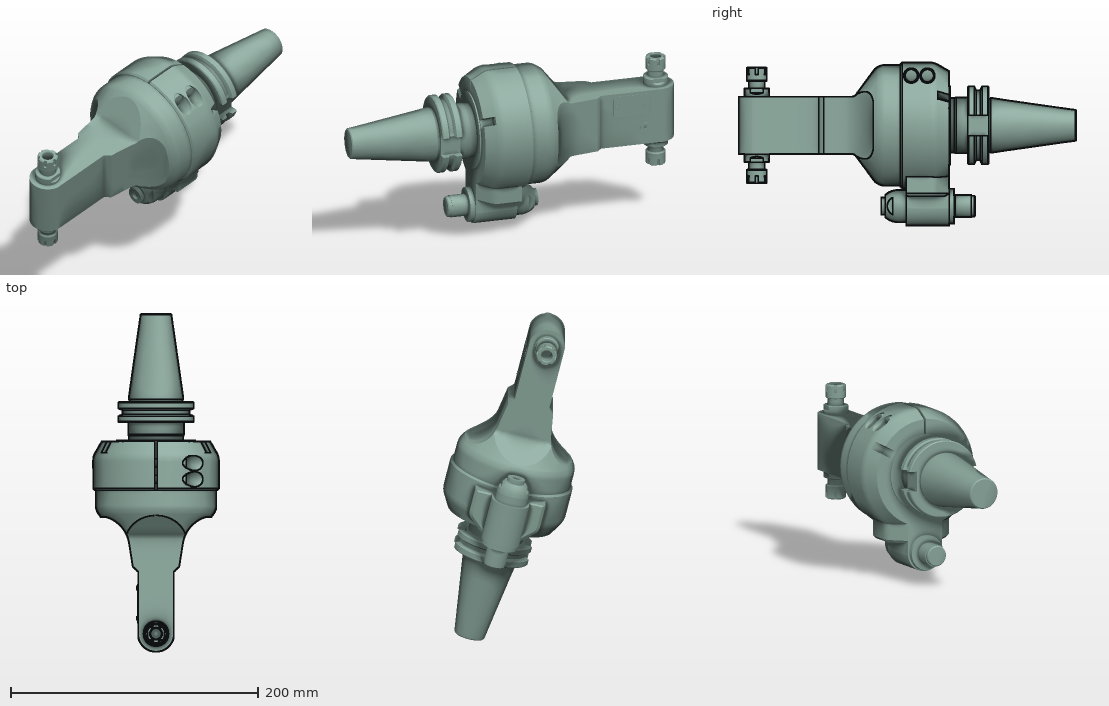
import cadquery as cq
import math


TAPER_END_RADIUS = 12.5
TAPER_END_CHAMFER = 0.8
TAPER_GAUGE_RADIUS = 22.0
TAPER_GAUGE_STATION = 67.8
TAPER_LAND_LENGTH = 1.5
TAPER_RELIEF_RADIUS = 21.5
FLANGE_RADIUS = 31.7
FLANGE_BACK = 71.0
FLANGE_FRONT = 87.7
FLANGE_CHAMFER = 0.8
GRIP_GROOVE_RADIUS = 28.5
GRIP_GROOVE_CENTRE = 79.5
GRIP_GROOVE_TOP_WIDTH = 6.5
GRIP_GROOVE_ROOT_WIDTH = 3.3
DRIVE_SLOT_WIDTH = 16.7
DRIVE_SLOT_FLOOR = 24.0
NECK_RADIUS = 22.7
NECK_STEP_START = 97.3
NECK_STEP_END = 98.5
NECK_FRONT_RADIUS = 22.0

BOSS_BACK = 102.0
BOSS_RADIUS = 31.7
RING_BACK = 103.0
RING_FRONT = 142.3
RING_DIAMETER = 102.0
RING_RADIUS = RING_DIAMETER / 2
RING_CONE_ANGLE = 30
RING_ROUND_RADIUS = 13.0
BACK_CORNER_STATION = 115.3
RING_FRONT_CHAMFER = 1.5
SLIT_WIDTH = 2.2
CLAMP_SCREW_STATIONS = (120.5, 133.5)
CLAMP_SCREW_DIAMETER = 6.5
CLAMP_BORE_DIAMETER = 12.0
CLAMP_SEAT_X = 17.8
CLAMP_HEAD_END_X = 24.5
CLAMP_HEAD_DIAMETER = 10.0
CLAMP_AXIS_Z = 40.2
NOTCH_ANGLES = (30, 150)
NOTCH_WIDTH = 6.8
NOTCH_DEPTH = 11.0
NOTCH_END = 112.0

BLOCK_HALF_WIDTH = 29.2
BLOCK_SLOPE_ANGLE = 48
BLOCK_ROUND_RADIUS = 8.7
BLOCK_FRONT = 137.7
BLOCK_BOTTOM = -57.5
BLOCK_CHAMFER = 2.5
BLOCK_FRONT_CHAMFER = 1.0
STOP_AXIS_Z = -65.3
SLEEVE_DIAMETER = 31.5
SLEEVE_RADIUS = SLEEVE_DIAMETER / 2
SLEEVE_HALF_WIDTH = 15.5

PIN_BACK = 82.0
PIN_TAIL_RADIUS = 9.0
PIN_TAIL_CHAMFER = 0.8
PIN_RELIEF_RADIUS = 8.5
PIN_LAND_BACK = 85.2
PIN_LAND_FRONT = 97.8
PIN_COLLAR_BACK = 99.0
PIN_COLLAR_RADIUS = 14.2
PIN_BODY_RADIUS = 13.0
PIN_DOME_START = 145.0
PIN_DOME_END = 154.5
PIN_DOME_END_RADIUS = 9.0
PIN_DOME_MIDDLE = 150.5
PIN_DOME_MIDDLE_RADIUS = 11.7
PIN_TIP_RADIUS = 7.0
PIN_TIP_FRONT = 158.0
PIN_FLAT_X = 10.5
PIN_FLAT_BACK = 148.5
PIN_SOCKET_DIAMETER = 6.5
PIN_SOCKET_DEPTH = 2.7

HEAD_RADIUS = 49.0
HEAD_CORNER_STATION = 158.5
HEAD_CONE_ANGLE = 36
HEAD_ROUND_RADIUS = 11.0
CONE_END = 179.5
SHOULDER_STATION = 164.2
SHOULDER_HALF_WIDTH = 40.7
ARM_ROOT_STATION = 185.2
ARM_ROOT_HALF_WIDTH = 21.9
ARM_STEP_START = 204.3
ARM_STEP_HALF_WIDTH = 18.9
ARM_STEP_END = 208.5
ARM_HALF_WIDTH = 14.5
ARM_HALF_HEIGHT = 23.2
NOSE_FLAT_START = 260.4
NOSE_ROUND_START = 262.3
ARM_FRONT = 273.2
WEDGE_CORNER_STATION = 179.5
WEDGE_ANGLE = 53.5
WEDGE_FILLET = 4.5
ENVELOPE = 54.6

PLATE_BACK = 219.0
PLATE_FRONT = 248.5
PLATE_BOTTOM = 2.7
PLATE_TOP = 20.8
PLATE_CORNER = 2.2
PLATE_THICKNESS = 0.3
PLATE_PIN_INSET = 2.5
PLATE_PIN_DIAMETER = 2.5
PLATE_PIN_HEIGHT = 1.0
WINDOW_STATION = 245.5
WINDOW_Z = -8.5
WINDOW_DIAMETER = 8.5
WINDOW_HOLE_DIAMETER = 3.3
WINDOW_HOLE_DEPTH = 1.0

SPINDLE_STATION = 258.5
COLLAR_RADIUS = 10.0
COLLAR_TOP = 30.0
COLLAR_CHAMFER = 0.5
COLLAR_FLAT_X = 8.7
COLLAR_FLAT_BOTTOM = 26.5
COLLAR_FLAT_RUNOUT = 1.5
SPINDLE_NECK_RADIUS = 6.5
NUT_RADIUS = 8.2
NUT_BOTTOM = 35.5
NUT_TOP = 47.0
NUT_CHAMFER = 0.8
NUT_SLOT_COUNT = 6
NUT_SLOT_WIDTH = 2.6
NUT_SLOT_DEPTH = 1.6
NUT_SLOT_LENGTH = 6.3
COLLET_MOUTH_DIAMETER = 10.0
COLLET_BORE_DIAMETER = 9.0
COLLET_MOUTH_DEPTH = 0.8
COLLET_BORE_DEPTH = 16.5


def on_axis(x, station):
    """XY point at a distance x from the shank axis and at a station along it."""
    return (x, -station)


def turned(points):
    """Solid of revolution about the Y axis from (radius, station) points."""
    outline = cq.Workplane("XY").polyline([on_axis(*p) for p in points]).close()
    return outline.revolve(360, (0, 0, 0), (0, 1, 0))


def cylinder_along_y(radius, back, front, z=0):
    plane = cq.Workplane("XZ", origin=(0, -back, z))
    return plane.circle(radius).extrude(front - back)


def box_between(x_range, station_range, z_range):
    """Axis-aligned box given by its limits."""
    x0, x1 = x_range
    back, front = station_range
    z0, z1 = z_range
    box = cq.Workplane("XY").box(x1 - x0, front - back, z1 - z0, centered=False)
    return box.translate((x0, -front, z0))


def make_shank():
    groove_top = GRIP_GROOVE_TOP_WIDTH / 2
    groove_root = GRIP_GROOVE_ROOT_WIDTH / 2
    land_front = TAPER_GAUGE_STATION + TAPER_LAND_LENGTH
    shank = turned([
        (0, 0),
        (TAPER_END_RADIUS - TAPER_END_CHAMFER, 0),
        (TAPER_END_RADIUS, TAPER_END_CHAMFER),
        (TAPER_GAUGE_RADIUS, TAPER_GAUGE_STATION),
        (TAPER_GAUGE_RADIUS, land_front),
        (TAPER_RELIEF_RADIUS, land_front),
        (TAPER_RELIEF_RADIUS, FLANGE_BACK),
        (FLANGE_RADIUS - FLANGE_CHAMFER, FLANGE_BACK),
        (FLANGE_RADIUS, FLANGE_BACK + FLANGE_CHAMFER),
        (FLANGE_RADIUS, GRIP_GROOVE_CENTRE - groove_top),
        (GRIP_GROOVE_RADIUS, GRIP_GROOVE_CENTRE - groove_root),
        (GRIP_GROOVE_RADIUS, GRIP_GROOVE_CENTRE + groove_root),
        (FLANGE_RADIUS, GRIP_GROOVE_CENTRE + groove_top),
        (FLANGE_RADIUS, FLANGE_FRONT - FLANGE_CHAMFER),
        (FLANGE_RADIUS - FLANGE_CHAMFER, FLANGE_FRONT),
        (NECK_RADIUS, FLANGE_FRONT),
        (NECK_RADIUS, NECK_STEP_START),
        (NECK_FRONT_RADIUS, NECK_STEP_END),
        (NECK_FRONT_RADIUS, BOSS_BACK),
        (0, BOSS_BACK),
    ])
    half_slot = DRIVE_SLOT_WIDTH / 2
    for x_range in ((DRIVE_SLOT_FLOOR, ENVELOPE), (-ENVELOPE, -DRIVE_SLOT_FLOOR)):
        shank = shank.cut(box_between(x_range, (FLANGE_BACK, FLANGE_FRONT), (-half_slot, half_slot)))
    return shank


def sloped_flank(half_width, front, slope_angle, round_radius):
    """Half outline from the axis outward, with a sloped and rounded back corner."""
    slope = math.radians(slope_angle)
    tangent = round_radius * math.tan(slope / 2)
    back_half_width = half_width - (BACK_CORNER_STATION - RING_BACK) * math.tan(slope)
    round_start = on_axis(
        half_width - tangent * math.sin(slope),
        BACK_CORNER_STATION - tangent * math.cos(slope),
    )
    round_end = on_axis(half_width, BACK_CORNER_STATION + tangent)
    return (
        cq.Workplane("XY")
        .moveTo(*on_axis(0, RING_BACK))
        .lineTo(*on_axis(back_half_width, RING_BACK))
        .lineTo(*round_start)
        .tangentArcPoint(round_end, relative=False)
        .lineTo(*on_axis(half_width, front))
        .lineTo(*on_axis(0, front))
        .close()
    )


def make_stop_block():
    """Crosspiece under the ring with a round-bottomed sleeve for the stop pin."""
    outline = sloped_flank(BLOCK_HALF_WIDTH, BLOCK_FRONT, BLOCK_SLOPE_ANGLE, BLOCK_ROUND_RADIUS)
    half = outline.extrude(BLOCK_BOTTOM)
    half = half.faces("<Z").edges("not (<X or <Y)").chamfer(BLOCK_CHAMFER)
    half = half.faces("<Z").edges("<Y").chamfer(BLOCK_FRONT_CHAMFER)
    crosspiece = half.union(half.mirror("YZ"))
    sleeve_sides = (-SLEEVE_HALF_WIDTH, SLEEVE_HALF_WIDTH)
    round_bottom = cylinder_along_y(SLEEVE_RADIUS, RING_BACK, BLOCK_FRONT, STOP_AXIS_Z)
    above_axis = box_between((-ENVELOPE, ENVELOPE), (RING_BACK, BLOCK_FRONT), (STOP_AXIS_Z, 0))
    web = box_between(sleeve_sides, (RING_BACK, BLOCK_FRONT), (STOP_AXIS_Z - SLEEVE_RADIUS, -BOSS_RADIUS))
    sleeve = web.intersect(round_bottom.union(above_axis))
    return crosspiece.union(sleeve)


def ring_notch(angle):
    """Cutter for a notch that runs parallel to the back cone of the ring."""
    slope = math.tan(math.radians(RING_CONE_ANGLE))
    floor_end = RING_RADIUS - (BACK_CORNER_STATION - NOTCH_END) * slope - NOTCH_DEPTH
    floor_start = floor_end - (NOTCH_END - RING_BACK) * slope
    corners = [
        (floor_start, RING_BACK),
        (ENVELOPE, RING_BACK),
        (ENVELOPE, NOTCH_END),
        (floor_end, NOTCH_END),
    ]
    outline = cq.Workplane("XY").polyline([on_axis(*c) for c in corners]).close()
    return outline.extrude(NOTCH_WIDTH / 2, both=True).rotate((0, 0, 0), (0, 1, 0), -angle)


def cylinder_along_x(diameter, x_start, x_end, station):
    plane = cq.Workplane("YZ", origin=(x_start, -station, CLAMP_AXIS_Z))
    return plane.circle(diameter / 2).extrude(x_end - x_start)


def make_clamp_ring():
    outline = sloped_flank(RING_RADIUS, RING_FRONT, RING_CONE_ANGLE, RING_ROUND_RADIUS)
    ring = outline.revolve(360, (0, 0, 0), (0, 1, 0))
    ring = ring.faces("<Y").edges().chamfer(RING_FRONT_CHAMFER)
    ring = ring.union(make_stop_block())
    ring = ring.cut(cylinder_along_y(BOSS_RADIUS, RING_BACK, RING_FRONT))
    ring = ring.cut(cylinder_along_y(PIN_BODY_RADIUS, RING_BACK, BLOCK_FRONT, STOP_AXIS_Z))
    half_slit = SLIT_WIDTH / 2
    ring = ring.cut(box_between((-half_slit, half_slit), (RING_BACK, RING_FRONT), (0, ENVELOPE)))
    for station in CLAMP_SCREW_STATIONS:
        ring = ring.cut(cylinder_along_x(CLAMP_BORE_DIAMETER, CLAMP_SEAT_X, ENVELOPE, station))
        ring = ring.union(cylinder_along_x(CLAMP_HEAD_DIAMETER, CLAMP_SEAT_X, CLAMP_HEAD_END_X, station))
        ring = ring.union(cylinder_along_x(CLAMP_SCREW_DIAMETER, -half_slit, half_slit, station))
    for angle in NOTCH_ANGLES:
        ring = ring.cut(ring_notch(angle))
    return ring


def make_stop_pin():
    pin = (
        cq.Workplane("XY")
        .moveTo(*on_axis(0, PIN_BACK))
        .lineTo(*on_axis(PIN_RELIEF_RADIUS - PIN_TAIL_CHAMFER, PIN_BACK))
        .lineTo(*on_axis(PIN_RELIEF_RADIUS, PIN_BACK + PIN_TAIL_CHAMFER))
        .lineTo(*on_axis(PIN_RELIEF_RADIUS, PIN_LAND_BACK))
        .lineTo(*on_axis(PIN_TAIL_RADIUS, PIN_LAND_BACK))
        .lineTo(*on_axis(PIN_TAIL_RADIUS, PIN_LAND_FRONT))
        .lineTo(*on_axis(PIN_RELIEF_RADIUS, PIN_LAND_FRONT))
        .lineTo(*on_axis(PIN_RELIEF_RADIUS, PIN_COLLAR_BACK))
        .lineTo(*on_axis(PIN_COLLAR_RADIUS, PIN_COLLAR_BACK))
        .lineTo(*on_axis(PIN_COLLAR_RADIUS, RING_BACK))
        .lineTo(*on_axis(PIN_BODY_RADIUS, RING_BACK))
        .lineTo(*on_axis(PIN_BODY_RADIUS, PIN_DOME_START))
        .threePointArc(
            on_axis(PIN_DOME_MIDDLE_RADIUS, PIN_DOME_MIDDLE),
            on_axis(PIN_DOME_END_RADIUS, PIN_DOME_END),
        )
        .lineTo(*on_axis(PIN_TIP_RADIUS, PIN_DOME_END))
        .lineTo(*on_axis(PIN_TIP_RADIUS, PIN_TIP_FRONT))
        .lineTo(*on_axis(0, PIN_TIP_FRONT))
        .close()
        .revolve(360, (0, 0, 0), (0, 1, 0))
    )
    pin = pin.cut(cylinder_along_y(PIN_SOCKET_DIAMETER / 2, PIN_TIP_FRONT - PIN_SOCKET_DEPTH, PIN_TIP_FRONT))
    z_range = (-PIN_BODY_RADIUS, PIN_BODY_RADIUS)
    for x_range in ((PIN_FLAT_X, PIN_BODY_RADIUS), (-PIN_BODY_RADIUS, -PIN_FLAT_X)):
        pin = pin.cut(box_between(x_range, (PIN_FLAT_BACK, PIN_DOME_END), z_range))
    return pin.translate((0, 0, STOP_AXIS_Z))


def head_envelope():
    """Turned boss, drum and cone, opening out past the cone so the arm stays clear of it."""
    slope = math.radians(HEAD_CONE_ANGLE)
    tangent = HEAD_ROUND_RADIUS * math.tan(slope / 2)
    cone_end_radius = HEAD_RADIUS - (CONE_END - HEAD_CORNER_STATION) * math.tan(slope)
    round_start = on_axis(HEAD_RADIUS, HEAD_CORNER_STATION - tangent)
    round_end = on_axis(
        HEAD_RADIUS - tangent * math.sin(slope),
        HEAD_CORNER_STATION + tangent * math.cos(slope),
    )
    return (
        cq.Workplane("XY")
        .moveTo(*on_axis(0, BOSS_BACK))
        .lineTo(*on_axis(BOSS_RADIUS, BOSS_BACK))
        .lineTo(*on_axis(BOSS_RADIUS, RING_FRONT))
        .lineTo(*on_axis(HEAD_RADIUS, RING_FRONT))
        .lineTo(*round_start)
        .tangentArcPoint(round_end, relative=False)
        .lineTo(*on_axis(cone_end_radius, CONE_END))
        .lineTo(*on_axis(ENVELOPE, CONE_END))
        .lineTo(*on_axis(ENVELOPE, ARM_FRONT))
        .lineTo(*on_axis(0, ARM_FRONT))
        .close()
        .revolve(360, (0, 0, 0), (0, 1, 0))
    )


def arm_plan():
    """Plan outline of the head and arm, extruded over the full height."""
    nose_radius = ARM_FRONT - SPINDLE_STATION
    nose_half_width = math.sqrt(nose_radius**2 - (NOSE_ROUND_START - SPINDLE_STATION) ** 2)
    half = (
        cq.Workplane("XY")
        .moveTo(*on_axis(0, ARM_FRONT))
        .radiusArc(on_axis(nose_half_width, NOSE_ROUND_START), -nose_radius)
        .lineTo(*on_axis(ARM_HALF_WIDTH, NOSE_FLAT_START))
        .lineTo(*on_axis(ARM_HALF_WIDTH, ARM_STEP_END))
        .lineTo(*on_axis(ARM_STEP_HALF_WIDTH, ARM_STEP_START))
        .lineTo(*on_axis(ARM_ROOT_HALF_WIDTH, ARM_ROOT_STATION))
        .tangentArcPoint(on_axis(SHOULDER_HALF_WIDTH, SHOULDER_STATION), relative=False)
        .lineTo(*on_axis(ENVELOPE, SHOULDER_STATION))
        .lineTo(*on_axis(ENVELOPE, BOSS_BACK))
        .lineTo(*on_axis(0, BOSS_BACK))
        .close()
        .extrude(ENVELOPE, both=True)
    )
    return half.union(half.mirror("YZ"))


def arm_side():
    """Side outline: two flat slopes running down to the parallel faces of the arm."""
    rise = ENVELOPE - ARM_HALF_HEIGHT
    slope_top = WEDGE_CORNER_STATION - rise / math.tan(math.radians(WEDGE_ANGLE))
    upper = [
        (BOSS_BACK, ENVELOPE),
        (slope_top, ENVELOPE),
        (WEDGE_CORNER_STATION, ARM_HALF_HEIGHT),
        (ARM_FRONT, ARM_HALF_HEIGHT),
    ]
    lower = [(station, -z) for station, z in reversed(upper)]
    outline = cq.Workplane("YZ").polyline([(-station, z) for station, z in upper + lower]).close()
    side = outline.extrude(ENVELOPE, both=True)
    corners = cq.selectors.BoxSelector(
        (-ENVELOPE, -WEDGE_CORNER_STATION - WEDGE_FILLET, -ENVELOPE),
        (ENVELOPE, -WEDGE_CORNER_STATION + WEDGE_FILLET, ENVELOPE),
    )
    return side.edges("|X").edges(corners).fillet(WEDGE_FILLET)


def add_name_plate(housing):
    length = PLATE_FRONT - PLATE_BACK
    height = PLATE_TOP - PLATE_BOTTOM
    middle_station = (PLATE_BACK + PLATE_FRONT) / 2
    middle_z = (PLATE_BOTTOM + PLATE_TOP) / 2
    face = cq.Workplane("YZ", origin=(-ARM_HALF_WIDTH, -middle_station, middle_z))
    plate = face.rect(length, height).extrude(-PLATE_THICKNESS).edges("|X").fillet(PLATE_CORNER)
    pin_offset = length / 2 - PLATE_PIN_INSET
    pins = face.pushPoints([(-pin_offset, 0), (pin_offset, 0)])
    pins = pins.circle(PLATE_PIN_DIAMETER / 2).extrude(-PLATE_PIN_HEIGHT)
    return housing.union(plate).union(pins)


def add_oil_window(housing):
    face = cq.Workplane("YZ", origin=(-ARM_HALF_WIDTH, -WINDOW_STATION, WINDOW_Z))
    window = face.circle(WINDOW_DIAMETER / 2).extrude(-PLATE_THICKNESS)
    hole = face.workplane(offset=-PLATE_THICKNESS).circle(WINDOW_HOLE_DIAMETER / 2).extrude(WINDOW_HOLE_DEPTH)
    return housing.union(window).cut(hole)


def spindle_collar():
    """Bearing collar with a wrench flat on each side that runs out on a slope."""
    collar = cq.Workplane("XY").circle(COLLAR_RADIUS).extrude(COLLAR_TOP).faces(">Z").chamfer(COLLAR_CHAMFER)
    flat_run = COLLAR_RADIUS - COLLAR_FLAT_X
    for side in (1, -1):
        flat = (
            cq.Workplane("XZ")
            .moveTo(side * COLLAR_FLAT_X, COLLAR_TOP)
            .lineTo(side * COLLAR_FLAT_X, COLLAR_FLAT_BOTTOM)
            .lineTo(side * (COLLAR_FLAT_X + flat_run), COLLAR_FLAT_BOTTOM - COLLAR_FLAT_RUNOUT)
            .lineTo(side * (COLLAR_FLAT_X + flat_run), COLLAR_TOP)
            .close()
            .extrude(COLLAR_RADIUS, both=True)
        )
        collar = collar.cut(flat)
    return collar


def collet_nut():
    nut = cq.Workplane("XY").workplane(offset=NUT_BOTTOM).circle(NUT_RADIUS).extrude(NUT_TOP - NUT_BOTTOM)
    nut = nut.faces("<Z or >Z").edges().chamfer(NUT_CHAMFER)
    slot_end = NUT_SLOT_WIDTH / 2
    slot_end_z = NUT_TOP - NUT_SLOT_LENGTH + slot_end
    slot = (
        cq.Workplane("YZ", origin=(NUT_RADIUS - NUT_SLOT_DEPTH, 0, 0))
        .moveTo(-slot_end, NUT_TOP)
        .lineTo(-slot_end, slot_end_z)
        .radiusArc((slot_end, slot_end_z), -slot_end)
        .lineTo(slot_end, NUT_TOP)
        .close()
        .extrude(NUT_RADIUS)
    )
    for index in range(NUT_SLOT_COUNT):
        nut = nut.cut(slot.rotate((0, 0, 0), (0, 0, 1), index * 360 / NUT_SLOT_COUNT))
    return nut


def collet_bore():
    mouth_bottom = NUT_TOP - COLLET_MOUTH_DEPTH
    outline = [
        (0, NUT_TOP),
        (COLLET_MOUTH_DIAMETER / 2, NUT_TOP),
        (COLLET_BORE_DIAMETER / 2, mouth_bottom),
        (COLLET_BORE_DIAMETER / 2, NUT_TOP - COLLET_BORE_DEPTH),
        (0, NUT_TOP - COLLET_BORE_DEPTH),
    ]
    return cq.Workplane("XZ").polyline(outline).close().revolve(360, (0, 0, 0), (0, 1, 0))


def make_spindle_end():
    """Upper spindle end: collar, neck and slotted collet nut."""
    neck = cq.Workplane("XY").circle(SPINDLE_NECK_RADIUS).extrude(NUT_BOTTOM)
    end = spindle_collar().union(neck).union(collet_nut()).cut(collet_bore())
    return end.translate((0, -SPINDLE_STATION, 0))


def make_housing():
    housing = head_envelope().intersect(arm_plan()).intersect(arm_side())
    housing = add_oil_window(add_name_plate(housing))
    spindle_end = make_spindle_end()
    return housing.union(spindle_end).union(spindle_end.mirror("XY"))


shank = make_shank().solids()
clamp_ring = make_clamp_ring().solids()
stop_pin = make_stop_pin().solids()
housing = make_housing().solids()

result = cq.Compound.makeCompound([shank.val(), clamp_ring.val(), stop_pin.val(), housing.val()])